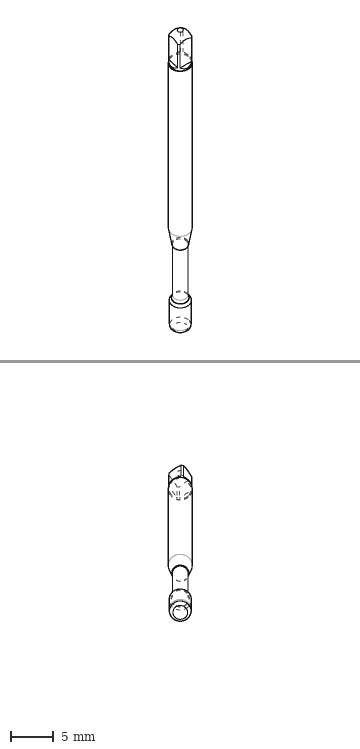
import cadquery as cq

total_height = 50.1

grip_diameter = 2.8
grip_bottom = 16.85
grip_top = 44.65
grip_chamfer = 0.05
taper_bottom = 14.15
taper_bottom_diameter = 2.0
neck_diameter = 1.85
neck_top = 14.0
flare_height = 0.5
flare_diameter = 2.0

drive_diameter = 2.7
drive_across_flats = 2.1
flats_bottom = 45.15
tip_diameter = 0.7

head_diameter = 2.6
head_height = 5.05
head_top_chamfer = 0.4
head_top_diameter = 2.1
lead_top = 0.85
lead_bottom = 0.45
lead_bottom_diameter = 2.5
point_diameter = 1.7


def revolve_profile(stations):
    """Turn (diameter, height) stations, listed bottom to top, into a solid about Z."""
    outer_points = [(diameter / 2, height) for diameter, height in stations]
    bottom_height = stations[0][1]
    top_height = stations[-1][1]
    points = [(0, bottom_height), *outer_points, (0, top_height)]
    return cq.Workplane("XZ").polyline(points).close().revolve(360, (0, 0, 0), (0, 1, 0))


def drive_flat_cutter():
    """Material removed beside the +X flat, with a floor sloping down outward at 45 degrees."""
    flat_x = drive_across_flats / 2
    outer_x = grip_diameter / 2
    floor_drop = outer_x - flat_x
    return (
        cq.Workplane("XZ")
        .moveTo(flat_x, flats_bottom)
        .lineTo(outer_x, flats_bottom - floor_drop)
        .lineTo(outer_x, total_height)
        .lineTo(flat_x, total_height)
        .close()
        .extrude(grip_diameter / 2, both=True)
    )


def make_shank():
    """Turned shank with a square drive and a 45 degree conical tip."""
    tip_height = (drive_diameter - tip_diameter) / 2
    shank = revolve_profile([
        (flare_diameter, head_height),
        (neck_diameter, head_height + flare_height),
        (neck_diameter, neck_top),
        (taper_bottom_diameter, taper_bottom),
        (grip_diameter, grip_bottom),
        (grip_diameter, grip_top - grip_chamfer),
        (drive_diameter, grip_top),
        (drive_diameter, total_height - tip_height),
        (tip_diameter, total_height),
    ])
    flat_count = 4
    for index in range(flat_count):
        angle = index * 360 / flat_count
        shank = shank.cut(drive_flat_cutter().rotate((0, 0, 0), (0, 0, 1), angle))
    return shank


def make_head():
    """Cylindrical head with a chamfered top, a slight lead taper and a blunt point."""
    return revolve_profile([
        (point_diameter, 0),
        (lead_bottom_diameter, lead_bottom),
        (head_diameter, lead_top),
        (head_diameter, head_height - head_top_chamfer),
        (head_top_diameter, head_height),
    ])


shank = make_shank()
head = make_head()
result = cq.Compound.makeCompound([shank.val(), head.val()])